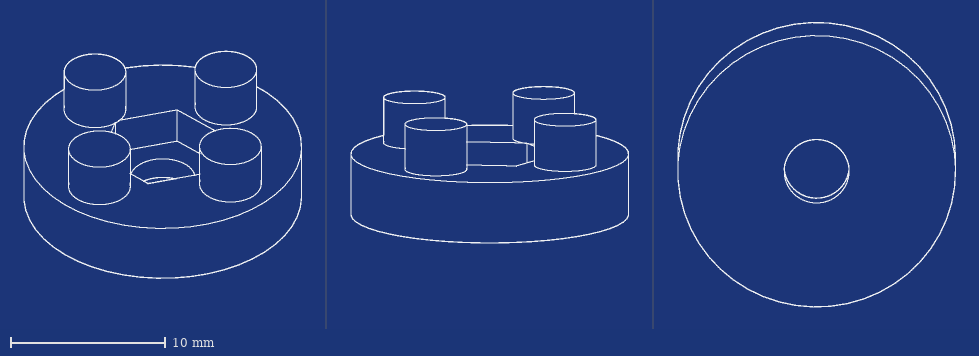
import cadquery as cq
import math

disc_diameter = 18.0
disc_thickness = 4.0

pin_diameter = 4.0
pin_height = 3.0
pin_count = 4
pin_circle_radius = 6.0

bore_diameter = 4.2
hex_sides = 6
hex_across_flats = 7.2
hex_depth = 2.5
hex_across_corners = hex_across_flats / math.cos(math.pi / hex_sides)


def make_disc():
    """Plain disc with its underside on Z = 0."""
    return cq.Workplane("XY").circle(disc_diameter / 2).extrude(disc_thickness)


def make_hex_pocket():
    """Hexagonal cutter sunk from the top face, with corners on the X axis."""
    return (
        cq.Workplane("XY")
        .workplane(offset=disc_thickness - hex_depth)
        .polygon(hex_sides, hex_across_corners)
        .extrude(hex_depth)
    )


def make_bore():
    """Cutter for the hole through the disc centre."""
    return cq.Workplane("XY").circle(bore_diameter / 2).extrude(disc_thickness)


def make_pins():
    """Pins evenly spaced around the disc, the first one on +X."""
    return (
        cq.Workplane("XY")
        .workplane(offset=disc_thickness)
        .polarArray(pin_circle_radius, 0, 360, pin_count)
        .circle(pin_diameter / 2)
        .extrude(pin_height)
    )


result = make_disc().cut(make_hex_pocket()).cut(make_bore()).union(make_pins())